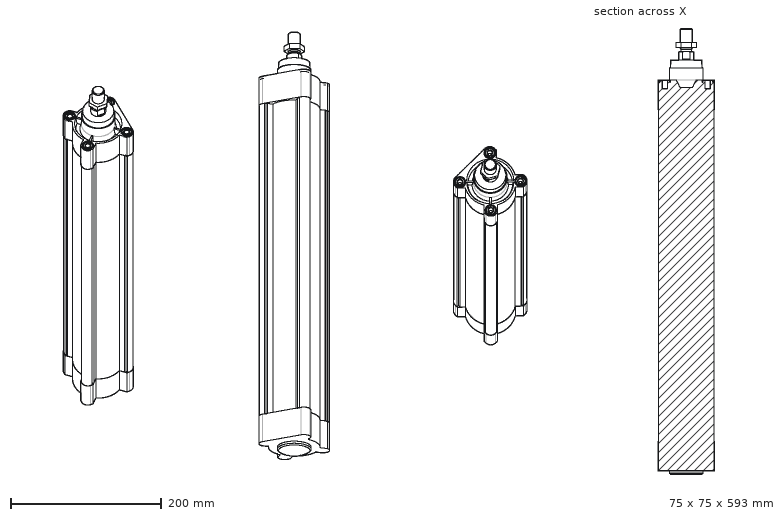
import cadquery as cq
import math

side = 75.0
length = 593.0
half = side / 2

rear_cap_bottom = 5.0
cap_height = 39.0
head_cap_top = 525.0
lower_collar_top = 541.0
upper_collar_top = 551.0
flats_bottom = 553.0
shoulder_z = 563.0
thread_bottom = 567.0
nut_bottom = 567.5
nut_height = 7.0
rear_cap_top = rear_cap_bottom + cap_height
head_cap_bottom = head_cap_top - cap_height

corner_radius = 9.0
corner_center = half - corner_radius
cap_radius = 34.5
barrel_inset = 0.3
barrel_side = side - 2 * barrel_inset
barrel_half = barrel_side / 2
barrel_corner_radius = corner_radius - barrel_inset
barrel_radius = cap_radius - barrel_inset
flank_half_width = 17.0
barrel_web_end = 22.5
barrel_foot_half = 25.0
barrel_lip_half = 26.0

lower_collar_diameter = 45.0
upper_collar_diameter = 42.5
collar_rim_diameter = 41.5
plug_diameter = 45.0
plug_chamfer = 2.0
recess_outer_diameter = 63.0
recess_taper = 2.0
recess_depth = 10.0
recess_rib_width = 2.5

screw_gap_outer = 15.0
screw_head_diameter = 13.0
screw_face_diameter = 12.0
screw_head_chamfer = (screw_head_diameter - screw_face_diameter) / 2
screw_gap_depth = 3.0
screw_socket_diameter = 8.0
screw_socket_depth = 1.0
screw_core_diameter = 6.5
screw_core_depth = 12.0

rod_diameter = 20.0
flats_width = 17.0
shoulder_chamfer = 1.0
neck_diameter = 14.0
neck_top = 565.0
thread_diameter = 16.0
tip_diameter = 13.5
tip_chamfer = (thread_diameter - tip_diameter) / 2
nut_width = 24.0


def cylinder(diameter, bottom, top):
    return cq.Workplane("XY").workplane(offset=bottom).circle(diameter / 2).extrude(top - bottom)


def quarter_turns(shape, turns):
    """The shape turned about Z by each of the given numbers of quarter turns, as a list."""
    return [shape.rotate((0, 0, 0), (0, 0, 1), 90 * turn) for turn in turns]


def cap(bottom):
    """Rounded square block with the +Y face left flat and the other three sides relieved."""
    block = cq.Workplane("XY").workplane(offset=bottom).rect(side, side).extrude(cap_height)
    block = block.edges("|Z").fillet(corner_radius)
    flank_y = math.sqrt(cap_radius**2 - flank_half_width**2)
    web_end = flank_half_width + half - flank_y
    relief = (
        cq.Workplane("XY")
        .workplane(offset=bottom)
        .moveTo(-web_end, -half)
        .lineTo(-flank_half_width, -flank_y)
        .threePointArc((0, -cap_radius), (flank_half_width, -flank_y))
        .lineTo(web_end, -half)
        .close()
        .extrude(cap_height)
    )
    for cutter in quarter_turns(relief, (-1, 0, 1)):
        block = block.cut(cutter)
    return block


def barrel():
    """Extruded tube profile with a lipped groove beside every corner lobe."""
    barrel_length = head_cap_bottom - rear_cap_top
    base = cq.Workplane("XY").workplane(offset=rear_cap_top)
    profile = base.rect(barrel_side, barrel_side).extrude(barrel_length)
    profile = profile.edges("|Z").fillet(barrel_corner_radius)
    flank_y = math.sqrt(barrel_radius**2 - flank_half_width**2)
    floor_y = flank_y + barrel_web_end - flank_half_width
    lobe_angle = math.acos((corner_center - barrel_lip_half) / barrel_corner_radius)
    lip_y = corner_center + barrel_corner_radius * math.sin(lobe_angle)
    middle_angle = (lobe_angle + math.pi / 2) / 2
    middle_x = corner_center - barrel_corner_radius * math.cos(middle_angle)
    middle_y = corner_center + barrel_corner_radius * math.sin(middle_angle)
    relief = (
        base.moveTo(-corner_center, -barrel_half)
        .threePointArc((-middle_x, -middle_y), (-barrel_lip_half, -lip_y))
        .lineTo(-barrel_foot_half, -floor_y)
        .lineTo(-barrel_web_end, -floor_y)
        .lineTo(-flank_half_width, -flank_y)
        .threePointArc((0, -barrel_radius), (flank_half_width, -flank_y))
        .lineTo(barrel_web_end, -floor_y)
        .lineTo(barrel_foot_half, -floor_y)
        .lineTo(barrel_lip_half, -lip_y)
        .threePointArc((middle_x, -middle_y), (corner_center, -barrel_half))
        .close()
        .extrude(barrel_length)
    )
    for cutter in quarter_turns(relief, range(4)):
        profile = profile.cut(cutter)
    return profile


def collar_recess():
    """Tapered annular groove around the collar, parted by four diagonal ribs."""
    inner_radius = lower_collar_diameter / 2
    outer_radius = recess_outer_diameter / 2
    floor_z = head_cap_top - recess_depth
    groove = (
        cq.Workplane("XZ")
        .moveTo(inner_radius, head_cap_top)
        .lineTo(outer_radius, head_cap_top)
        .lineTo(outer_radius - recess_taper, floor_z)
        .lineTo(inner_radius + recess_taper, floor_z)
        .close()
        .revolve(360, (0, 0, 0), (0, 1, 0))
    )
    rib = (
        cq.Workplane("XY")
        .workplane(offset=floor_z)
        .rect(side, recess_rib_width)
        .extrude(recess_depth)
        .rotate((0, 0, 0), (0, 0, 1), 45)
    )
    for diagonal in quarter_turns(rib, range(2)):
        groove = groove.cut(diagonal)
    return groove


def screw_recesses():
    """Ring gap around each cap screw head, and its stepped socket."""
    centers = [(x, y) for x in (-corner_center, corner_center) for y in (-corner_center, corner_center)]
    plane = cq.Workplane("XY").workplane(offset=head_cap_top).pushPoints(centers)
    pockets = plane.circle(screw_gap_outer / 2).extrude(-screw_gap_depth)
    heads = plane.circle(screw_head_diameter / 2).extrude(-screw_gap_depth)
    heads = heads.faces(">Z").chamfer(screw_head_chamfer)
    sockets = plane.circle(screw_socket_diameter / 2).extrude(-screw_socket_depth)
    cores = plane.circle(screw_core_diameter / 2).extrude(-screw_core_depth)
    return pockets.cut(heads).union(sockets).union(cores)


def make_housing():
    plug = cylinder(plug_diameter, 0, rear_cap_bottom).faces("<Z").chamfer(plug_chamfer)
    lower_collar = cylinder(lower_collar_diameter, head_cap_top, lower_collar_top)
    upper_collar = (
        cq.Workplane("XY")
        .workplane(offset=lower_collar_top)
        .circle(upper_collar_diameter / 2)
        .workplane(offset=upper_collar_top - lower_collar_top)
        .circle(collar_rim_diameter / 2)
        .loft()
    )
    body = barrel().union(cap(rear_cap_bottom)).union(cap(head_cap_bottom))
    body = body.union(plug).union(lower_collar).union(upper_collar)
    rod_bore = cylinder(rod_diameter, head_cap_bottom, upper_collar_top)
    return body.cut(collar_recess()).cut(screw_recesses()).cut(rod_bore)


def make_rod():
    """Turned rod with a thread relief below the threaded end, and two wrench flats across X."""
    rod_radius = rod_diameter / 2
    thread_radius = thread_diameter / 2
    neck_radius = neck_diameter / 2
    rod = (
        cq.Workplane("XZ")
        .moveTo(0, head_cap_bottom)
        .lineTo(rod_radius, head_cap_bottom)
        .lineTo(rod_radius, shoulder_z - shoulder_chamfer)
        .lineTo(rod_radius - shoulder_chamfer, shoulder_z)
        .lineTo(neck_radius, shoulder_z)
        .lineTo(neck_radius, neck_top)
        .lineTo(thread_radius, thread_bottom)
        .lineTo(thread_radius, length - tip_chamfer)
        .lineTo(tip_diameter / 2, length)
        .lineTo(0, length)
        .close()
        .revolve(360, (0, 0, 0), (0, 1, 0))
    )
    cutter_width = 2 * rod_diameter
    flats = (
        cq.Workplane("XY")
        .workplane(offset=flats_bottom)
        .rect(cutter_width, cutter_width)
        .rect(flats_width, cutter_width)
        .extrude(shoulder_z - flats_bottom)
    )
    return rod.cut(flats)


def make_nut():
    """Hexagon nut with two corners on the Y axis."""
    corner_diameter = nut_width / math.cos(math.radians(30))
    return (
        cq.Workplane("XY")
        .workplane(offset=nut_bottom)
        .transformed(rotate=(0, 0, 90))
        .polygon(6, corner_diameter)
        .circle(thread_diameter / 2)
        .extrude(nut_height)
    )


housing = make_housing()
rod = make_rod()
nut = make_nut()

result = cq.Compound.makeCompound([housing.solids().val(), rod.solids().val(), nut.val()])